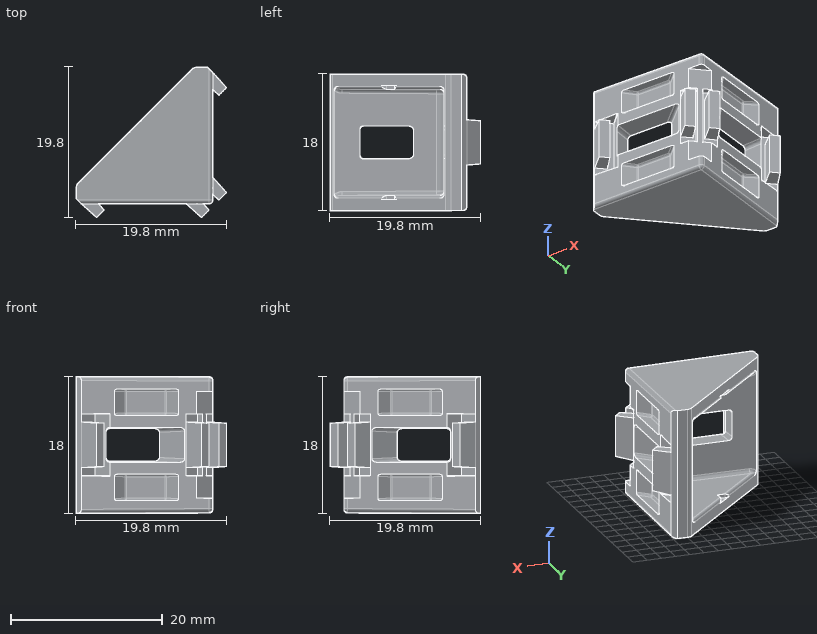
import cadquery as cq
import math


overall = 19.8
leg = 18.0
end_height = 2.5
end_chamfer = 0.7
slope_round = 0.99
edge_round = 0.5
side_draft = 0.5
slope_distance = (leg + end_height) / math.sqrt(2)

wall = 3.0
cavity_half_width = 6.97
cavity_corner_round = 0.99
cavity_floor_round = 0.5
cavity_rim_round = 0.38

rim_notch_depth = 1.0
rim_notch_round = 0.99
rim_notch_half_width = 7.5

hole_far = 14.05
hole_near_outside = 3.7
hole_near_inside = 7.05
hole_half_width_outside = 2.3
hole_half_width_inside = 2.14
hole_round = 0.5

pocket_far = 12.97
pocket_near = 4.5
pocket_width = 3.48
pocket_offset = 5.6
pocket_depth = 1.6
pocket_draft = 2.0
pocket_round = 0.3

lug_height = overall - leg
lug_draft = 3.0
lug_thickness = 1.7
lug_width = 6.0
lug_pitch = 13.8
recess_width = 8.12
recess_draft = 2.0
end_recess_length = 2.55
corner_recess_length = 2.08
corner_relief = 2.15
corner_relief_width = 14.0
end_root = leg - end_chamfer
corner_root = end_root - lug_pitch
lug_length = lug_height * math.sqrt(2) / (1 - math.tan(math.radians(lug_draft)))


def both_legs(shape):
    """The shape together with its copy on the other leg."""
    return shape.union(shape.mirror((1, 1, 0), (0, 0, 0)))


def pull_plane(distance):
    """Plane facing the pull direction that crosses the X leg's outer face at this distance.

    Local x runs along the sloped face, local y is Z.
    """
    return cq.Plane(origin=(-distance, 0, 0), xDir=(1, 1, 0), normal=(1, -1, 0))


def upright_prism(outline):
    """Prism along Z, more than tall enough for the bracket."""
    return cq.Workplane("XY").polyline(outline).close().extrude(leg, both=True)


def narrowed(prism, half_width, rim_round=0.0):
    """Limit a prism to a Z width that shrinks from the sloped face towards the outer corner.

    With a rim round, the width flares along an arc up to the sloped face and carries on past it.
    """
    corner_half_width = half_width - slope_distance * math.tan(math.radians(side_draft))
    half = (
        cq.Workplane(cq.Plane(origin=(0, 0, 0), xDir=(1, -1, 0), normal=(1, 1, 0)))
        .lineTo(0, corner_half_width)
        .lineTo(-slope_distance + rim_round, half_width)
    )
    if rim_round > 0:
        half = half.tangentArcPoint((-slope_distance, half_width + rim_round), relative=False)
        half = half.lineTo(-slope_distance - rim_round, half_width + rim_round)
    half = half.lineTo(-slope_distance - rim_round, 0).close().extrude(overall, both=True)
    return prism.intersect(half.union(half.mirror("XY")))


def body():
    outline = [
        (0, 0),
        (-end_root, 0),
        (-leg, end_chamfer),
        (-leg, end_height),
        (-end_height, leg),
        (-end_chamfer, leg),
        (0, end_root),
    ]
    prism = upright_prism(outline).edges("|Z").edges("<(1, -1, 0)").fillet(slope_round)
    solid = narrowed(prism, leg / 2)
    return solid.faces("<Y or >X").edges("not <(1, -1, 0)").fillet(edge_round)


def cavity():
    """Hollow that reaches past the sloped face, with a flared mouth."""
    mouth = leg + end_height - wall + cavity_rim_round * math.sqrt(2)
    outline = [(-wall, wall), (-mouth, wall), (-wall, mouth)]
    prism = upright_prism(outline).edges("|Z").edges(">(1, -1, 0)").fillet(cavity_corner_round)
    hollow = narrowed(prism, cavity_half_width, cavity_rim_round)
    return hollow.edges("not |Z").edges("not |(1, 1, 0)").fillet(cavity_floor_round)


def rim_notch():
    """V notch with rounded shoulders across the middle of the cavity mouth."""
    apex = (slope_distance - rim_notch_depth) / math.sqrt(2)
    side = rim_notch_depth * math.sqrt(2)
    tangent = rim_notch_round * math.tan(math.radians(22.5))
    tangent_step = tangent / math.sqrt(2)
    middle = slope_distance / math.sqrt(2)
    half = (
        cq.Workplane("XY")
        .moveTo(-apex, apex)
        .lineTo(-apex, apex + side - tangent)
        .tangentArcPoint((-apex + tangent_step, apex + side + tangent_step), relative=False)
        .lineTo(-middle, middle)
        .close()
        .extrude(rim_notch_half_width, both=True)
    )
    return both_legs(half)


def drafted_opening(far, near_outside, half_outside, far_inside, near_inside, half_inside, depth):
    """Rectangular hole into the X leg's outer face, blended to a smaller rectangle at a depth."""
    return (
        cq.Workplane("XZ")
        .center(-(far + near_outside) / 2, 0)
        .rect(far - near_outside, 2 * half_outside)
        .workplane(offset=-depth)
        .center((far + near_outside - far_inside - near_inside) / 2, 0)
        .rect(far_inside - near_inside, 2 * half_inside)
        .loft(ruled=True)
    )


def hole():
    opening = drafted_opening(
        hole_far, hole_near_outside, hole_half_width_outside,
        hole_far, hole_near_inside, hole_half_width_inside, wall,
    )
    return opening.edges("not #Y").fillet(hole_round)


def pockets():
    far_run = pocket_depth * math.tan(math.radians(45 - pocket_draft))
    near_run = pocket_depth * math.tan(math.radians(45 + pocket_draft))
    side_run = pocket_depth * math.tan(math.radians(pocket_draft))
    pocket = drafted_opening(
        pocket_far, pocket_near, pocket_width / 2,
        pocket_far - far_run, pocket_near + near_run, pocket_width / 2 - side_run, pocket_depth,
    )
    pocket = pocket.edges("not <Y").fillet(pocket_round)
    return pocket.translate((0, 0, pocket_offset)).union(pocket.translate((0, 0, -pocket_offset)))


def pulled_block(plane, start, length, width, height, taper):
    """Tapered block on a pull plane, from a local x start and centred on z = 0."""
    return (
        cq.Workplane(plane)
        .center(start + length / 2, 0)
        .rect(length, width)
        .extrude(height, taper=taper)
    )


def recess(root, length):
    return pulled_block(pull_plane(root), 0, length, recess_width, lug_length, -recess_draft)


def lug(root):
    return pulled_block(pull_plane(root), 0, lug_thickness, lug_width, lug_length, lug_draft)


def corner_relief_cut():
    """Block that flattens the outer corner, twice as long as the flat it leaves."""
    length = 2 * corner_relief * math.sqrt(2)
    return pulled_block(
        pull_plane(corner_relief), -length / 4, length, corner_relief_width, lug_length, -recess_draft
    )


result = body().cut(cavity())
result = result.cut(rim_notch())
result = result.cut(both_legs(hole()))
result = result.cut(both_legs(pockets()))
result = result.cut(corner_relief_cut())
result = result.cut(both_legs(recess(end_root, end_recess_length)))
result = result.cut(both_legs(recess(corner_root, corner_recess_length)))
result = result.union(both_legs(lug(end_root)))
result = result.union(both_legs(lug(corner_root)))